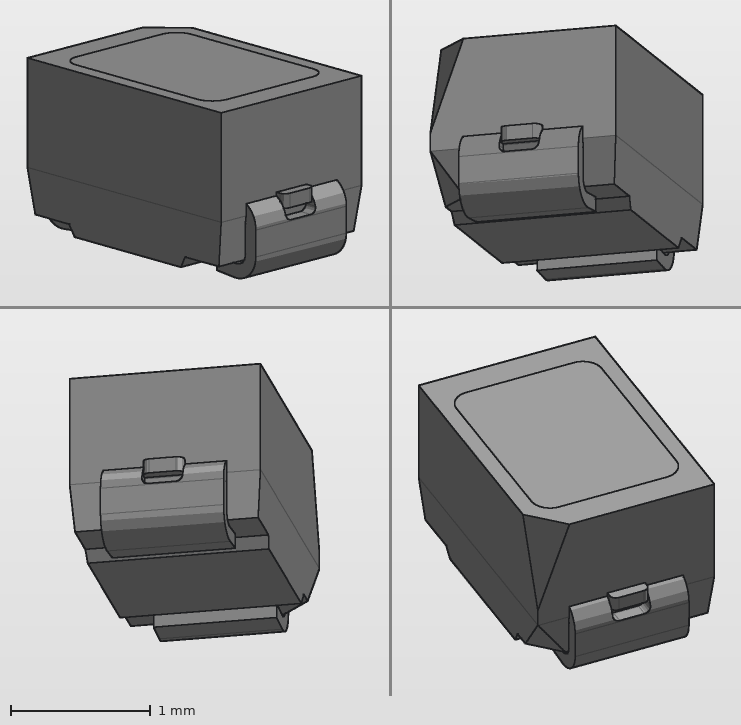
import cadquery as cq
import math

total_length = 2.2
total_height = 1.3
body_length = 2.0
body_width = 1.4

base_bottom_z = 0.05
step_z = 0.139
split_z = 0.486
base_inset_x = 0.065
base_inset_y = 0.035
pad_bottom_length = 1.095
pad_top_length = 1.197

upper_mark_leg = 0.25
upper_mark_bottom_z = 0.615
lower_mark_leg = 0.215

lens_length = 1.55
lens_width = 1.15
lens_corner_radius = 0.15

lead_width = 0.902
lead_thickness = 0.108
bend_radius = 0.2
inner_bend_radius = bend_radius - lead_thickness
lead_top_z = 0.6
foot_angle = math.radians(5)
foot_length = 0.187
tab_width = 0.3
tab_overhang = 0.085
tab_corner_radius = 0.05
window_bottom_z = 0.407

bend_center_x = total_length / 2 - bend_radius
lens_depth = total_height - lead_top_z


def tetrahedron(a, b, c, d):
    """Solid with four corner points."""
    triangles = [(a, b, c), (a, b, d), (a, c, d), (b, c, d)]
    faces = [
        cq.Face.makeFromWires(cq.Wire.makePolygon([cq.Vector(*p) for p in triangle], close=True))
        for triangle in triangles
    ]
    return cq.Workplane(cq.Solid.makeSolid(cq.Shell.makeShell(faces)))


def corner_cut(corner_x, corner_y, base_z, leg, apex):
    """Pyramid that removes a corner, tapering to a single point."""
    return tetrahedron(
        (corner_x, corner_y, base_z),
        (corner_x + leg, corner_y, base_z),
        (corner_x, corner_y - leg, base_z),
        apex,
    )


def make_base():
    """Tapered lower half with a raised underside at each end."""
    base = (
        cq.Workplane("XY", origin=(0, 0, base_bottom_z))
        .rect(body_length - 2 * base_inset_x, body_width - 2 * base_inset_y)
        .workplane(offset=split_z - base_bottom_z)
        .rect(body_length, body_width)
        .loft(combine=True)
    )
    for side in (-1, 1):
        relief = (
            cq.Workplane("XZ")
            .polyline([
                (side * pad_bottom_length / 2, base_bottom_z),
                (side * pad_top_length / 2, step_z),
                (side * body_length / 2, step_z),
                (side * body_length / 2, base_bottom_z),
            ])
            .close()
            .extrude(body_width / 2, both=True)
        )
        base = base.cut(relief)
    return base


def make_lead():
    """Bent lead at the +X end, with its straight tab standing in a window."""
    outer_x = total_length / 2
    inner_x = outer_x - lead_thickness
    upper_center_z = lead_top_z - bend_radius
    lower_center_z = bend_radius

    def upper_point(radius, angle):
        return (bend_center_x + radius * math.cos(angle), upper_center_z + radius * math.sin(angle))

    def lower_point(radius, angle, along_foot=0.0):
        x = bend_center_x + radius * math.cos(angle) - along_foot * math.cos(foot_angle)
        z = lower_center_z + radius * math.sin(angle) + along_foot * math.sin(foot_angle)
        return (x, z)

    foot_start = -math.pi / 2 - foot_angle
    lead = (
        cq.Workplane("XZ")
        .moveTo(*upper_point(bend_radius, math.pi / 2))
        .threePointArc(upper_point(bend_radius, math.pi / 4), (outer_x, upper_center_z))
        .lineTo(outer_x, lower_center_z)
        .threePointArc(lower_point(bend_radius, foot_start / 2), lower_point(bend_radius, foot_start))
        .lineTo(*lower_point(bend_radius, foot_start, foot_length))
        .lineTo(*lower_point(inner_bend_radius, foot_start, foot_length))
        .lineTo(*lower_point(inner_bend_radius, foot_start))
        .threePointArc(lower_point(inner_bend_radius, foot_start / 2), (inner_x, lower_center_z))
        .lineTo(inner_x, upper_center_z)
        .threePointArc(
            upper_point(inner_bend_radius, math.pi / 4), upper_point(inner_bend_radius, math.pi / 2)
        )
        .close()
        .extrude(lead_width / 2, both=True)
    )
    window = (
        cq.Workplane("XY", origin=(bend_center_x, 0, window_bottom_z))
        .box(bend_radius, tab_width, lead_top_z - window_bottom_z, centered=(False, True, False))
        .edges("|X and <Z")
        .fillet(tab_corner_radius)
    )
    tab_length = body_length / 2 + tab_overhang - bend_center_x
    tab = (
        cq.Workplane("XY", origin=(bend_center_x, 0, lead_top_z - lead_thickness))
        .box(tab_length, tab_width, lead_thickness, centered=(False, True, False))
        .edges("|Z and >X")
        .fillet(tab_corner_radius)
    )
    return lead.cut(window).union(tab)


def make_lens():
    """Rounded window block flush with the top of the housing."""
    return (
        cq.Workplane("XY", origin=(0, 0, lead_top_z))
        .rect(lens_length, lens_width)
        .extrude(lens_depth)
        .edges("|Z")
        .fillet(lens_corner_radius)
    )


def make_housing(lens):
    """Package with its corner mark, both leads and the recess for the lens."""
    upper = cq.Workplane("XY", origin=(0, 0, split_z)).box(
        body_length, body_width, total_height - split_z, centered=(True, True, False)
    )
    corner_x = -body_length / 2
    corner_y = body_width / 2
    upper_mark = corner_cut(
        corner_x, corner_y, total_height, upper_mark_leg, (corner_x, corner_y, upper_mark_bottom_z)
    )

    taper_share = (split_z - step_z) / (split_z - base_bottom_z)
    lower_mark = corner_cut(
        corner_x + base_inset_x * taper_share,
        corner_y - base_inset_y * taper_share,
        step_z,
        lower_mark_leg,
        (corner_x, corner_y, split_z),
    )
    housing = upper.cut(upper_mark).union(make_base().cut(lower_mark))

    lead = make_lead()
    for turn in (0, 180):
        housing = housing.union(lead.rotate((0, 0, 0), (0, 0, 1), turn))
    return housing.cut(lens)


lens = make_lens()
housing = make_housing(lens)

result = cq.Compound.makeCompound([housing.val(), lens.val()])